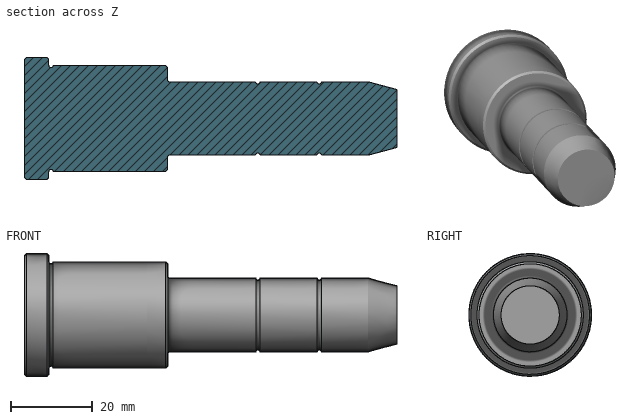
import cadquery as cq
import math

total_length = 91.0
head_end = 6.0
body_lead_start = 30.0
body_end = 35.0
tip_length = 7.0

head_diameter = 30.0
body_diameter = 26.0
pin_diameter = 18.0

edge_chamfer = 0.5
pin_root_fillet = 0.5
groove_starts = (56.5, 71.5)
groove_radius = 0.5
tip_half_angle = 15.0

head_radius = head_diameter / 2
body_radius = body_diameter / 2
pin_radius = pin_diameter / 2
tip_radius = pin_radius - tip_length * math.tan(math.radians(tip_half_angle))
tip_start = total_length - tip_length


def add_round_groove(outline, start, surface_radius):
    """Half-round groove, sunk by its own radius below a cylinder."""
    middle = (start + groove_radius, surface_radius - groove_radius)
    end = (start + 2 * groove_radius, surface_radius)
    return outline.lineTo(start, surface_radius).threePointArc(middle, end)


def add_head(outline):
    """Head disc with both rims chamfered."""
    return (
        outline.lineTo(0, head_radius - edge_chamfer)
        .lineTo(edge_chamfer, head_radius)
        .lineTo(head_end - edge_chamfer, head_radius)
        .lineTo(head_end, head_radius - edge_chamfer)
    )


def add_body(outline):
    """Shoulder body with a half-round relief under the head and a lead-in section of equal diameter."""
    outline = add_round_groove(outline, head_end, body_radius)
    return (
        outline.lineTo(body_lead_start, body_radius)
        .lineTo(body_end - edge_chamfer, body_radius)
        .lineTo(body_end, body_radius - edge_chamfer)
    )


def add_pin_root(outline):
    """End face of the body, blended into the pin by a concave fillet."""
    fillet_center_x = body_end + pin_root_fillet
    fillet_center_radius = pin_radius + pin_root_fillet
    diagonal = pin_root_fillet * math.sqrt(0.5)
    middle = (fillet_center_x - diagonal, fillet_center_radius - diagonal)
    return (
        outline.lineTo(body_end, fillet_center_radius)
        .threePointArc(middle, (fillet_center_x, pin_radius))
    )


def add_pin(outline):
    """Pin with ring grooves and a conical tip."""
    for start in groove_starts:
        outline = add_round_groove(outline, start, pin_radius)
    return (
        outline.lineTo(tip_start, pin_radius)
        .lineTo(total_length, tip_radius)
        .lineTo(total_length, 0)
    )


profile = cq.Workplane("XY").moveTo(0, 0)
profile = add_head(profile)
profile = add_body(profile)
profile = add_pin_root(profile)
profile = add_pin(profile)
result = profile.close().revolve(360, (0, 0, 0), (1, 0, 0), clean=False)